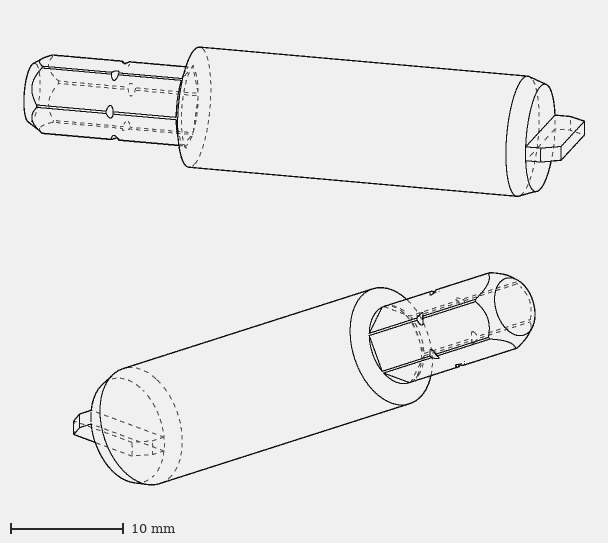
import cadquery as cq
import math

total_length = 50
body_start = 15
shoulder_start = 14.35
taper_start = 45.35
body_end = 47

body_diameter = 10.75
body_radius = body_diameter / 2
taper_end_radius = 4.8

hex_across_flats = 6.3
flat_turn = 90
shank_diameter = 7.15
shank_radius = shank_diameter / 2
shank_end_radius = 2.65
end_cone_length = 1.45

groove_position = 8.2
groove_width = 0.65
groove_depth = 0.225

blade_thickness = 1.3
blade_tip_half_width = 3.85
blade_bevel_start = 48.4


def revolve_about_x(outline):
    """Close a half outline along the X axis and turn it into a round solid."""
    return outline.close().revolve(360, (0, 0, 0), (1, 0, 0))


def make_body():
    """Round body with a tapered front and a filleted shoulder down to the shank."""
    fillet_radius = body_start - shoulder_start
    fillet_middle = fillet_radius * (1 - math.sqrt(0.5))
    outline = (
        cq.Workplane("XY")
        .moveTo(shoulder_start, 0)
        .lineTo(shoulder_start, shank_radius)
        .threePointArc(
            (body_start - fillet_middle, shank_radius + fillet_middle),
            (body_start, shank_radius + fillet_radius),
        )
        .lineTo(body_start, body_radius)
        .lineTo(taper_start, body_radius)
        .lineTo(body_end, taper_end_radius)
        .lineTo(body_end, 0)
    )
    return revolve_about_x(outline)


def make_shank():
    """Hexagonal bar, flats up and down, trimmed by a turned outline."""
    hex_bar = (
        cq.Workplane("YZ")
        .polygon(6, hex_across_flats, circumscribed=True)
        .extrude(body_start)
        .rotate((0, 0, 0), (1, 0, 0), flat_turn)
    )
    groove_edge = groove_width / 2
    outline = (
        cq.Workplane("XY")
        .lineTo(0, shank_end_radius)
        .lineTo(end_cone_length, shank_radius)
        .lineTo(groove_position - groove_edge, shank_radius)
        .threePointArc(
            (groove_position, shank_radius - groove_depth),
            (groove_position + groove_edge, shank_radius),
        )
        .lineTo(body_start, shank_radius)
        .lineTo(body_start, 0)
    )
    return hex_bar.intersect(revolve_about_x(outline))


def make_blade():
    """Flat blade with turned edges that bevel towards the tip."""
    outline = (
        cq.Workplane("XY")
        .moveTo(taper_start, 0)
        .lineTo(taper_start, taper_end_radius)
        .lineTo(blade_bevel_start, taper_end_radius)
        .lineTo(total_length, blade_tip_half_width)
        .lineTo(total_length, 0)
    )
    slab = cq.Workplane("XY").box(
        total_length, body_diameter, blade_thickness, centered=(False, True, True)
    )
    return slab.intersect(revolve_about_x(outline))


result = make_body().union(make_shank()).union(make_blade())